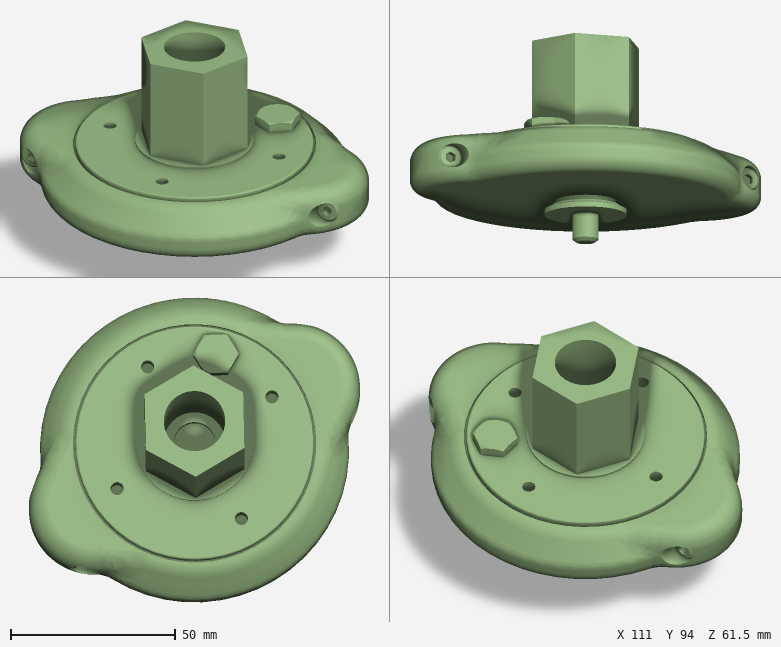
import cadquery as cq
import math


length = 111
width = 94.0
disc_radius = width / 2
housing_height = 15.1
slope_top_diameter = 79.3
slope_size = disc_radius - slope_top_diameter / 2
slope_start_height = housing_height - slope_size
ear_radius = 20
ear_offset = length / 2 - ear_radius
crease_radius = 9.2
shoulder_radius = 3.0
top_edge_radius = 6.0
bottom_edge_radius = 4.0

plate_diameter = 72.5
plate_top = 16.2
plate_edge_radius = 0.5
groove_diameter = 74.0
groove_depth = 1.0
plate_hole_count = 4
plate_hole_diameter = 4.0
plate_hole_circle_radius = 27.5
plate_hole_depth = 4.4

washer_diameter = 36.0
washer_top = 16.9
socket_flats = 30
socket_top = 48.7
socket_bore_diameter = 18.6
socket_bore_floor = washer_top
centre_recess_diameter = 12.5
centre_recess_floor = housing_height

bolt_x = 19.5
bolt_y = 19.6
bolt_flats = 12.0
bolt_top = 19.5
bolt_chamfer_angle = 30

boss_diameter = 18.6
boss_bottom = -1.5
step_diameter = 21.0
step_bottom = -2.8
flange_diameter = 25.0
flange_bottom = -4.3
pin_diameter = 8.0
pin_bottom = -12.8
pin_chamfer_height = 0.9
pin_chamfer_width = 1.2

screw_x = 48.0
screw_z = 7.7
screw_head_diameter = 7.5
screw_seat_y = 11.9
screw_face_y = 12.5
screw_chamfer_angle = 45
screw_hex_flats = 3.0
screw_hex_depth = 2.2


def hex_corners(flats):
    """Corner-to-corner size of a hexagon from its size across flats."""
    return flats / math.cos(math.pi / 6)


def cylinder(diameter, bottom, top):
    return cq.Workplane("XY").workplane(offset=bottom).circle(diameter / 2).extrude(top - bottom)


def hex_prism(flats, bottom, top):
    """Hexagonal prism on the Z axis with two corners in line with the X axis."""
    base = cq.Workplane("XY").workplane(offset=bottom)
    return base.polygon(6, hex_corners(flats)).extrude(top - bottom)


def make_housing():
    housing = cylinder(2 * disc_radius, 0, housing_height).faces(">Z").chamfer(slope_size)
    slope_foot = cq.selectors.NearestToPointSelector((0, 0, slope_start_height))
    housing = housing.edges(slope_foot).fillet(shoulder_radius)
    for side in (-1, 1):
        ear = cylinder(2 * ear_radius, 0, housing_height).translate((side * ear_offset, 0, 0))
        housing = housing.union(ear)
    return round_edges(housing)


def round_edges(housing):
    """Blend the ears into the disc, then round the whole top and bottom outline."""
    crease_x = (disc_radius**2 + ear_offset**2 - ear_radius**2) / (2 * ear_offset)
    crease_y = math.sqrt(disc_radius**2 - crease_x**2)
    inner_x = 0.9 * ear_offset
    margin = 1.1
    end_gap = 0.1
    creases = []
    for side_x in (-1, 1):
        for side_y in (-1, 1):
            outer_corner = (side_x * (crease_x + margin), side_y * (crease_y - margin), end_gap)
            inner_corner = (side_x * inner_x, side_y * (ear_radius + margin), housing_height - end_gap)
            creases += housing.edges(cq.selectors.BoxSelector(outer_corner, inner_corner)).vals()
    housing = housing.newObject(creases).fillet(crease_radius)
    housing = housing.faces(">Z").edges().fillet(top_edge_radius)
    return housing.faces("<Z").edges().fillet(bottom_edge_radius)


def make_plate():
    plate = cylinder(plate_diameter, housing_height, plate_top)
    return plate.faces(">Z").edges().fillet(plate_edge_radius)


def make_plate_groove():
    """Narrow ring of clearance in the housing around the cover plate."""
    bottom = housing_height - groove_depth
    ring = cylinder(groove_diameter, bottom, housing_height)
    return ring.cut(cylinder(plate_diameter, bottom, housing_height))


def make_plate_holes():
    holes = cq.Workplane("XY").workplane(offset=plate_top)
    holes = holes.polarArray(plate_hole_circle_radius, 0, 360, plate_hole_count)
    return holes.circle(plate_hole_diameter / 2).extrude(-plate_hole_depth)


def make_socket():
    washer = cylinder(washer_diameter, plate_top, washer_top)
    return washer.union(hex_prism(socket_flats, washer_top, socket_top))


def make_socket_bore():
    bore = cylinder(socket_bore_diameter, socket_bore_floor, socket_top)
    return bore.union(cylinder(centre_recess_diameter, centre_recess_floor, socket_bore_floor))


def make_bolt_head():
    """Hexagonal head with its corners trimmed by a cone that meets the flats at the top."""
    head = hex_prism(bolt_flats, plate_top, bolt_top).rotate((0, 0, 0), (0, 0, 1), 90)
    cone_radius = bolt_flats
    cone_drop = (cone_radius - bolt_flats / 2) * math.tan(math.radians(bolt_chamfer_angle))
    trim = [
        (0, 0),
        (cone_radius, 0),
        (cone_radius, bolt_top - cone_drop),
        (bolt_flats / 2, bolt_top),
        (0, bolt_top),
    ]
    cone = cq.Workplane("XZ").polyline(trim).close().revolve(360, (0, 0), (0, 1))
    return head.intersect(cone).translate((bolt_x, bolt_y, 0))


def make_boss_and_pin():
    boss = cylinder(boss_diameter, boss_bottom, 0)
    step = cylinder(step_diameter, step_bottom, boss_bottom)
    flange = cylinder(flange_diameter, flange_bottom, step_bottom)
    pin = cylinder(pin_diameter, pin_bottom, flange_bottom)
    pin = pin.faces("<Z").chamfer(pin_chamfer_height, pin_chamfer_width)
    return boss.union(step).union(flange).union(pin)


def screw_plane(distance):
    """Plane across the axis of the +X, -Y screw, facing outward along -Y."""
    return cq.Workplane("XZ", origin=(screw_x, -distance, screw_z))


def make_screw_hole():
    """Access hole from the screw seat outward through the side of the ear."""
    seat = screw_plane(screw_seat_y).circle(screw_head_diameter / 2)
    return seat.extrude(disc_radius - screw_seat_y)


def make_screw_tip():
    """Chamfered end of the screw head, standing on the floor of its access hole."""
    seat = screw_plane(screw_seat_y).circle(screw_head_diameter / 2)
    return seat.extrude(screw_face_y - screw_seat_y, taper=screw_chamfer_angle)


def make_hex_key_socket():
    """Hexagonal recess in the screw face, with two corners in line with the Z axis."""
    face = screw_plane(screw_face_y).polygon(6, hex_corners(screw_hex_flats))
    socket = face.extrude(-screw_hex_depth)
    return socket.rotate((screw_x, 0, screw_z), (screw_x, 1, screw_z), 90)


def at_four_screws(shape):
    """Copies of a shape made for the +X, -Y screw at all four screws."""
    pair = shape.union(shape.mirror("XZ"))
    return pair.union(pair.mirror("YZ"))


body = make_housing().cut(make_plate_groove()).union(make_plate()).union(make_socket())
body = body.union(make_bolt_head()).union(make_boss_and_pin())
body = body.cut(make_plate_holes()).cut(make_socket_bore())
body = body.cut(at_four_screws(make_screw_hole()))
body = body.union(at_four_screws(make_screw_tip()))
result = body.cut(at_four_screws(make_hex_key_socket()))